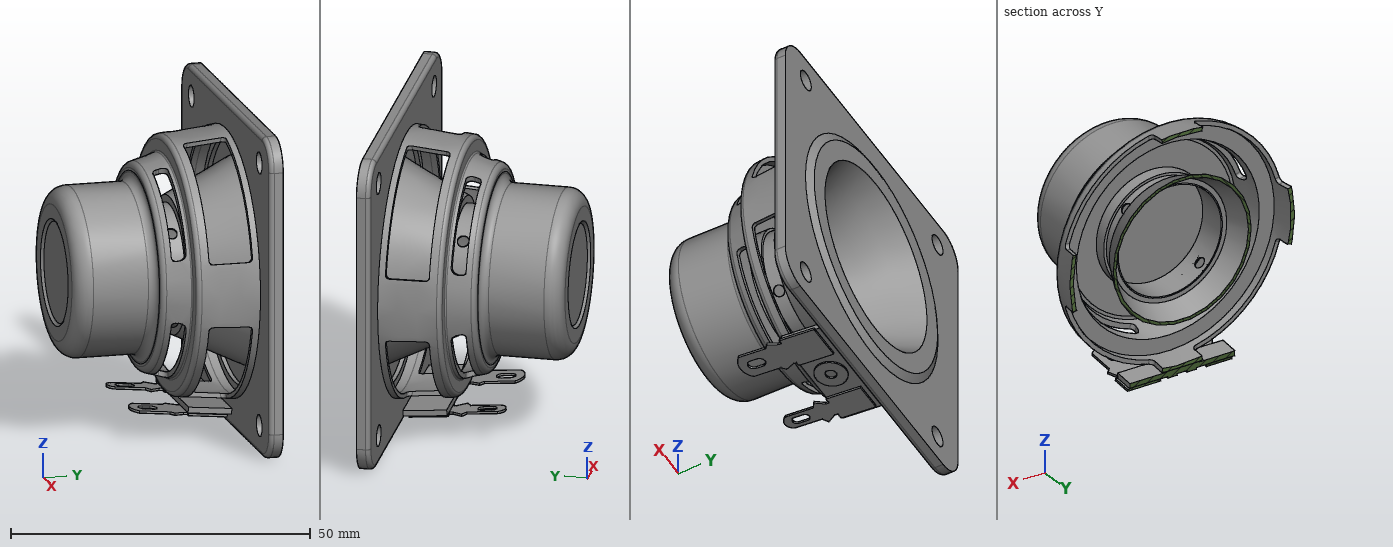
import cadquery as cq
import math


total_depth = 32.65
wall = 0.75

flange_width = 58.3
flange_height = 55.3
flange_corner_radius = 5.1
flange_front_depth = 0.8
flange_back_depth = 3.15
flange_edge_fillet = 0.75
mount_hole_diameter = 3.7
mount_hole_x = 22.2
mount_hole_z = 22.7

basket_front_radius = 23.0
basket_shelf_corner_radius = 22.0
shelf_depth = 13.75
shelf_fillet = 0.9
neck_front_radius = 19.0
neck_back_radius = 17.55
neck_root_fillet = 0.3
neck_end_depth = 18.8
neck_end_fillet = 1.15
front_opening_radius = 21.0

wide_window_depths = (4.25, 11.6)
wide_side_rib_half_angle = 14.1
wide_upright_rib_half_angle = 10.5
wide_window_fillet = 0.75
narrow_window_depths = (14.5, 16.95)
narrow_side_rib_half_angle = 17.0
narrow_upright_rib_half_angle = 14.0
narrow_window_front_fillet = 1.3
narrow_window_back_fillet = 0.7

rim_front_radius = 20.8
rim_back_radius = 22.3
cone_front_radius = 17.6
cone_back_radius = 11.8
cone_back_depth = 12.8
cone_thickness = 0.4

former_diameter = 21.0
former_bore_diameter = 20.5
winding_diameter = 22.0
winding_front_depth = 15.75
vent_diameter = 2.0
vent_depth = 14.4
vent_count = 4

cup_diameter = 29.0
cup_lip_radius = 16.2
cup_lip_fillet = 1.45
cup_end_fillet = 3.0
recess_radius = 9.05
recess_floor_radius = 8.55
recess_depth = 0.45

board_width = 21.0
board_length = 7.5
board_thickness = 1.0
board_end_depth = 12.25
board_end_top_z = -21.9
pad_diameter = 5.8
pad_hole_diameter = 2.0
pad_thickness = 0.3
lug_thickness = 0.4
lug_base_length = 6.7
lug_tail_length = 9.4
barb_start = 0.65
barb_tip = 2.35
barb_end = 3.05
tail_shoulder = 8.3
slot_middle = 6.25
slot_length = 3.25
narrow_lug = (-7.4, 2.55, 1.5, 1.5)
wide_lug = (7.6, 3.3, 2.55, 2.0)

window_inner_radius = cup_lip_radius
window_outer_radius = basket_front_radius + wall
neck_inner_depth = neck_end_depth - wall
basket_taper = math.atan2(basket_front_radius - basket_shelf_corner_radius, shelf_depth - flange_back_depth)


def revolved(profile):
    """Solid of revolution about Y from (radius, depth) corners."""
    points = [(radius, -depth) for radius, depth in profile]
    return cq.Workplane("XY").polyline(points).close().revolve(360, (0, 0, 0), (0, 1, 0))


def fillet_rim(body, radius, depth, fillet_radius):
    """Fillet the circular edge of the given radius and depth."""
    def is_rim(edge):
        return math.isclose(edge.radius(), radius, abs_tol=0.005) and math.isclose(
            edge.Center().y, -depth, abs_tol=0.005
        )

    return body.newObject(body.edges("%CIRCLE").filter(is_rim).vals()).fillet(fillet_radius)


def make_flange():
    thickness = flange_back_depth - flange_front_depth
    flange = (
        cq.Workplane("XZ", origin=(0, -flange_front_depth, 0))
        .rect(flange_width, flange_height)
        .extrude(thickness)
        .edges("|Y")
        .fillet(flange_corner_radius)
        .faces("<Y")
        .edges()
        .fillet(flange_edge_fillet)
    )
    holes = (
        cq.Workplane("XZ", origin=(0, -flange_front_depth, 0))
        .rect(2 * mount_hole_x, 2 * mount_hole_z, forConstruction=True)
        .vertices()
        .circle(mount_hole_diameter / 2)
        .extrude(thickness)
    )
    return flange.cut(holes)


def make_basket_shell():
    outside = revolved([
        (0, flange_front_depth),
        (basket_front_radius, flange_front_depth),
        (basket_front_radius, flange_back_depth),
        (basket_shelf_corner_radius, shelf_depth),
        (neck_front_radius, shelf_depth),
        (neck_back_radius, neck_end_depth),
        (0, neck_end_depth),
    ])
    outside = fillet_rim(outside, basket_shelf_corner_radius, shelf_depth, shelf_fillet)
    outside = fillet_rim(outside, neck_front_radius, shelf_depth, neck_root_fillet)
    return fillet_rim(outside, neck_back_radius, neck_end_depth, neck_end_fillet)


def make_cavity():
    return revolved([
        (0, flange_front_depth),
        (front_opening_radius, flange_front_depth),
        (front_opening_radius, flange_front_depth + wall),
        (basket_front_radius - wall, flange_front_depth + wall),
        (basket_front_radius - wall, flange_back_depth),
        (basket_shelf_corner_radius - wall, shelf_depth - wall),
        (neck_front_radius - wall, shelf_depth - wall),
        (neck_back_radius - wall, neck_inner_depth),
        (cup_lip_radius, neck_inner_depth),
        (cup_lip_radius, neck_end_depth),
        (0, neck_end_depth),
    ])


def make_window(depths, span, front_fillet, back_fillet):
    """Cutter from the axis outward, starting at the X axis and turning through span degrees."""
    front, back = depths
    return (
        cq.Workplane("XY")
        .polyline([
            (window_inner_radius, -front),
            (window_outer_radius, -front),
            (window_outer_radius, -back),
            (window_inner_radius, -back),
        ])
        .close()
        .revolve(span, (0, 0, 0), (0, 1, 0))
        .edges("%LINE")
        .edges(">Y")
        .fillet(front_fillet)
        .edges("%LINE")
        .edges("<Y")
        .fillet(back_fillet)
    )


def cut_windows(body, depths, side_angle, upright_angle, front_fillet, back_fillet):
    """Cut one window per quadrant, leaving ribs on the X axis (side) and the Z axis (upright)."""
    window = make_window(depths, 90 - side_angle - upright_angle, front_fillet, back_fillet)
    for start in (side_angle, 90 + upright_angle, 180 + side_angle, 270 + upright_angle):
        body = body.cut(window.rotate((0, 0, 0), (0, 1, 0), start))
    return body


def make_frame(board):
    frame = make_flange().union(make_basket_shell()).cut(make_cavity())
    frame = cut_windows(
        frame,
        wide_window_depths,
        wide_side_rib_half_angle,
        wide_upright_rib_half_angle,
        wide_window_fillet,
        wide_window_fillet,
    )
    frame = cut_windows(
        frame,
        narrow_window_depths,
        narrow_side_rib_half_angle,
        narrow_upright_rib_half_angle,
        narrow_window_front_fillet,
        narrow_window_back_fillet,
    )
    return frame.cut(board)


def make_diaphragm():
    collar_front_depth = cone_back_depth - cone_thickness
    return revolved([
        (rim_front_radius, 0),
        (rim_back_radius, flange_front_depth),
        (cone_front_radius, flange_front_depth),
        (cone_back_radius, cone_back_depth),
        (former_diameter / 2, cone_back_depth),
        (former_diameter / 2, collar_front_depth),
        (cone_back_radius - cone_thickness, collar_front_depth),
        (cone_front_radius - cone_thickness, 0),
    ])


def make_voice_coil():
    coil = revolved([
        (former_bore_diameter / 2, cone_back_depth - cone_thickness),
        (former_diameter / 2, cone_back_depth - cone_thickness),
        (former_diameter / 2, winding_front_depth),
        (winding_diameter / 2, winding_front_depth),
        (winding_diameter / 2, neck_inner_depth),
        (former_bore_diameter / 2, neck_inner_depth),
    ])
    vent = cq.Workplane("XY", origin=(0, -vent_depth, 0)).circle(vent_diameter / 2).extrude(former_diameter)
    for i in range(vent_count):
        coil = coil.cut(vent.rotate((0, 0, 0), (0, 1, 0), (i + 0.5) * 360 / vent_count))
    return coil


def make_magnet_cup():
    cup_radius = cup_diameter / 2
    cup = revolved([
        (0, neck_inner_depth),
        (cup_lip_radius, neck_inner_depth),
        (cup_lip_radius, neck_end_depth),
        (cup_radius, neck_end_depth),
        (cup_radius, total_depth),
        (recess_radius, total_depth),
        (recess_floor_radius, total_depth - recess_depth),
        (0, total_depth - recess_depth),
    ])
    cup = fillet_rim(cup, cup_radius, neck_end_depth, cup_lip_fillet)
    return fillet_rim(cup, cup_radius, total_depth, cup_end_fillet)


def board_plane(drop):
    """Plane parallel to the board, drop below its top face. Local Y runs from the back end to the front."""
    normal = cq.Vector(0, math.sin(basket_taper), math.cos(basket_taper))
    origin = cq.Vector(0, -board_end_depth, board_end_top_z) - normal * drop
    return cq.Plane(origin=origin, xDir=(1, 0, 0), normal=normal)


def make_board():
    """Flat board with a round pad around a blind hole under its middle."""
    board = (
        cq.Workplane(board_plane(board_thickness))
        .center(0, board_length / 2)
        .rect(board_width, board_length)
        .extrude(board_thickness)
    )
    pad = (
        cq.Workplane(board_plane(board_thickness))
        .center(0, board_length / 2)
        .circle(pad_diameter / 2)
        .circle(pad_hole_diameter / 2)
        .extrude(-pad_thickness)
    )
    return board.union(pad)


def make_lug(x, base_half_width, tail_half_width, slot_width):
    """Base under the board, then a neck, a pair of barbs and a round-ended slotted tail."""
    outline = [
        (base_half_width, lug_base_length),
        (base_half_width, 0),
        (tail_half_width, 0),
        (tail_half_width, -barb_start),
        (base_half_width, -barb_tip),
        (tail_half_width, -barb_end),
    ]
    mirrored = [(-across, along) for across, along in reversed(outline)]
    lug = (
        cq.Workplane(board_plane(board_thickness))
        .center(x, 0)
        .polyline(outline)
        .lineTo(tail_half_width, -tail_shoulder)
        .threePointArc((0, -lug_tail_length), (-tail_half_width, -tail_shoulder))
        .polyline(mirrored, includeCurrent=True)
        .close()
        .extrude(-lug_thickness)
    )
    slot = (
        cq.Workplane(board_plane(board_thickness))
        .center(x, -slot_middle)
        .slot2D(slot_length, slot_width, 90)
        .extrude(-lug_thickness)
    )
    return lug.cut(slot)


board = make_board()
frame = make_frame(board)
diaphragm = make_diaphragm()
voice_coil = make_voice_coil()
magnet_cup = make_magnet_cup()
lugs = [
    make_lug(x, base_half_width, tail_half_width, slot_width)
    for x, base_half_width, tail_half_width, slot_width in (narrow_lug, wide_lug)
]

result = cq.Compound.makeCompound([
    frame.val(),
    diaphragm.val(),
    voice_coil.val(),
    magnet_cup.val(),
    board.val(),
    *[lug.val() for lug in lugs],
])